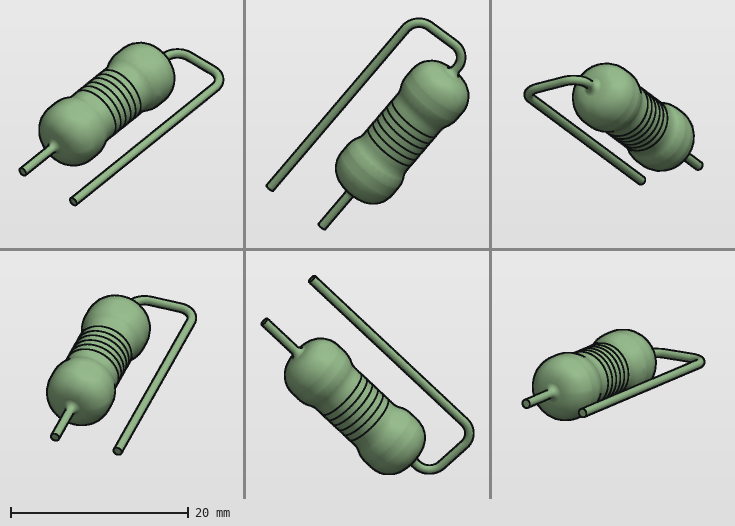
import cadquery as cq

overall_length = 27.1
body_diameter = 7.5
neck_diameter = 6.37
band_diameter = 6.4
wire_diameter = 1.0
lead_pitch = 7.5

body_start = 5.55
body_length = 18.1
dome_length = 2.63
cap_straight_length = 1.22
flare_radius = 0.73

band_count = 3
band_width = 0.9
band_gap = 0.85

bend_outer_radius = 2.47

body_radius = body_diameter / 2
neck_radius = neck_diameter / 2
wire_radius = wire_diameter / 2
flare_foot_radius = wire_radius + flare_radius
body_end = body_start + body_length
body_middle = body_start + body_length / 2
neck_length = band_count * band_width + (band_count + 1) * band_gap
neck_start = body_middle - neck_length / 2
bend_radius = bend_outer_radius - wire_radius
crossbar_y = overall_length - wire_radius


def y_cylinder(radius, start, end):
    """Solid cylinder on the Y axis between two Y positions."""
    return (
        cq.Workplane("XZ", origin=(0, start, 0))
        .circle(radius)
        .extrude(start - end)
    )


def make_body():
    """Two domed caps joined by a narrower neck, with a flare at each end."""
    dome_width = body_radius - flare_foot_radius
    cap_end = body_start + dome_length + cap_straight_length
    shoulder_middle = ((body_radius + neck_radius) / 2, (cap_end + neck_start) / 2)
    flare_start = body_start - flare_radius
    half_body = (
        cq.Workplane("XY")
        .moveTo(0, flare_start)
        .lineTo(wire_radius, flare_start)
        .radiusArc((flare_foot_radius, body_start), flare_radius)
        .ellipseArc(dome_width, dome_length, 270, 360, sense=1)
        .lineTo(body_radius, cap_end)
        .tangentArcPoint(shoulder_middle, relative=False)
        .tangentArcPoint((neck_radius, neck_start), relative=False)
        .lineTo(neck_radius, body_middle)
        .lineTo(0, body_middle)
        .close()
        .revolve(360, (0, 0, 0), (0, 1, 0))
    )
    other_half = half_body.mirror("XZ", (0, body_middle, 0))
    return half_body.union(other_half)


def add_bands(body):
    """Slightly raised color bands, evenly spaced along the neck."""
    for index in range(band_count):
        start = neck_start + band_gap + index * (band_gap + band_width)
        body = body.union(y_cylinder(band_diameter / 2, start, start + band_width))
    return body


def make_bent_lead():
    """Lead that leaves the far end, crosses over and runs back to Y = 0."""
    bend_start = crossbar_y - bend_radius
    path = (
        cq.Workplane("XY")
        .moveTo(0, body_end)
        .lineTo(0, bend_start)
        .radiusArc((bend_radius, crossbar_y), bend_radius)
        .lineTo(lead_pitch - bend_radius, crossbar_y)
        .radiusArc((lead_pitch, bend_start), bend_radius)
        .lineTo(lead_pitch, 0)
    )
    return cq.Workplane("XZ", origin=(0, body_end, 0)).circle(wire_radius).sweep(path)


straight_lead = y_cylinder(wire_radius, 0, body_start)
result = add_bands(make_body()).union(straight_lead).union(make_bent_lead())